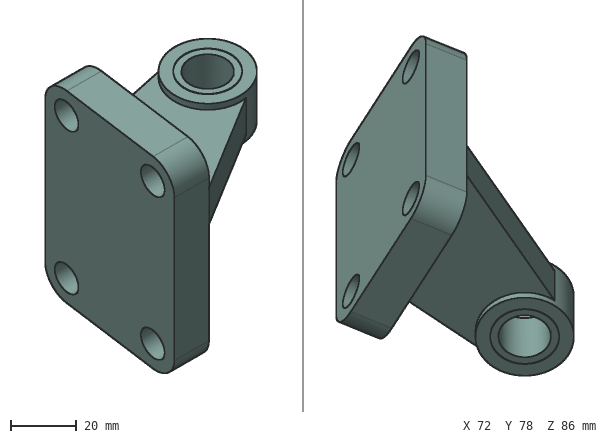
import cadquery as cq
import math

plate_width = 60.0
plate_height = 86.0
plate_thickness = 14.0
corner_radius = 10.0
bolt_hole_diameter = 11.0
bolt_spacing_x = 40.0
bolt_spacing_z = 66.0

boss_diameter = 30.0
boss_height = 20.0
bore_diameter = 16.0
recess_diameter = 21.0
recess_depth = 0.2
boss_x = 3.0
overall_depth = 78.0
boss_radius = boss_diameter / 2
boss_y = overall_depth - boss_radius

arm_thickness = 15.0
arm_foot_width = 52.3
left_edge_below_boss = 9.1
right_edge_above_boss = 2.7


def boss_rim_x(offset_y):
    """Horizontal distance from the boss axis to its rim at an offset in Y."""
    return math.sqrt(boss_radius**2 - offset_y**2)


def cylinder(diameter, height, bottom_z):
    """Vertical cylinder on the boss axis."""
    return (
        cq.Workplane("XY", origin=(boss_x, boss_y, bottom_z))
        .circle(diameter / 2)
        .extrude(height)
    )


def make_plate():
    """Rounded plate with four bolt holes; its outer face lies at Y = 0."""
    return (
        cq.Workplane("XY")
        .box(plate_width, plate_thickness, plate_height)
        .edges("|Y")
        .fillet(corner_radius)
        .faces("<Y")
        .workplane(centerOption="CenterOfBoundBox")
        .rarray(bolt_spacing_x, bolt_spacing_z, 2, 2)
        .hole(bolt_hole_diameter)
        .translate((plate_width / 2, plate_thickness / 2, 0))
    )


def make_arm():
    """Tapered web whose side edges end on the boss rim, closed at the boss axis."""
    return (
        cq.Workplane("XY")
        .moveTo(0, plate_thickness)
        .lineTo(arm_foot_width, plate_thickness)
        .lineTo(boss_x + boss_rim_x(right_edge_above_boss), boss_y + right_edge_above_boss)
        .lineTo(boss_x, boss_y)
        .lineTo(boss_x - boss_rim_x(left_edge_below_boss), boss_y - left_edge_below_boss)
        .close()
        .extrude(arm_thickness / 2, both=True)
    )


boss_bottom = -boss_height / 2
boss_top = boss_height / 2

result = make_plate().union(make_arm()).union(cylinder(boss_diameter, boss_height, boss_bottom))
result = result.cut(cylinder(bore_diameter, boss_height, boss_bottom))
for recess_bottom in (boss_bottom, boss_top - recess_depth):
    result = result.cut(cylinder(recess_diameter, recess_depth, recess_bottom))